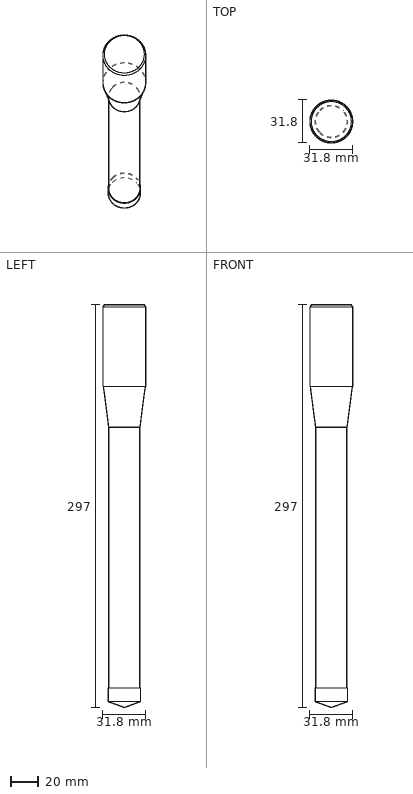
import cadquery as cq
import math


overall_length = 297.04
shank_diameter = 31.75
shank_length = 60.3
shank_chamfer_height = 2.0
shank_chamfer_angle = 30.0
neck_length = 29.9
neck_top_diameter = 31.2
neck_end_diameter = 23.4
neck_end_bevel = 0.3
body_diameter = 23.0
cutting_diameter = 24.0
cutting_length = 10.2
point_angle = 140.0

point_height = cutting_diameter / 2 / math.tan(math.radians(point_angle / 2))
cutting_top = point_height + cutting_length
shank_bottom = overall_length - shank_length
shank_chamfer_width = shank_chamfer_height * math.tan(math.radians(shank_chamfer_angle))
neck_bottom = shank_bottom - neck_length


def make_cutting_head():
    """Cylindrical cutting head ending in a conical point."""
    radius = cutting_diameter / 2
    profile = (
        cq.Workplane("XZ")
        .moveTo(0, 0)
        .lineTo(radius, point_height)
        .lineTo(radius, cutting_top)
        .lineTo(0, cutting_top)
        .close()
    )
    return profile.revolve(360, (0, 0), (0, 1))


def make_holder():
    """Slender body, bevelled taper neck, small shoulder and chamfered shank, resting on the cutting head."""
    body_radius = body_diameter / 2
    shank_radius = shank_diameter / 2
    profile = (
        cq.Workplane("XZ")
        .moveTo(0, cutting_top)
        .lineTo(body_radius, cutting_top)
        .lineTo(body_radius, neck_bottom - neck_end_bevel)
        .lineTo(neck_end_diameter / 2, neck_bottom)
        .lineTo(neck_top_diameter / 2, shank_bottom)
        .lineTo(shank_radius, shank_bottom)
        .lineTo(shank_radius, overall_length - shank_chamfer_height)
        .lineTo(shank_radius - shank_chamfer_width, overall_length)
        .lineTo(0, overall_length)
        .close()
    )
    return profile.revolve(360, (0, 0), (0, 1))


cutting_head = make_cutting_head()
holder = make_holder()

result = cq.Compound.makeCompound([cutting_head.val(), holder.val()])